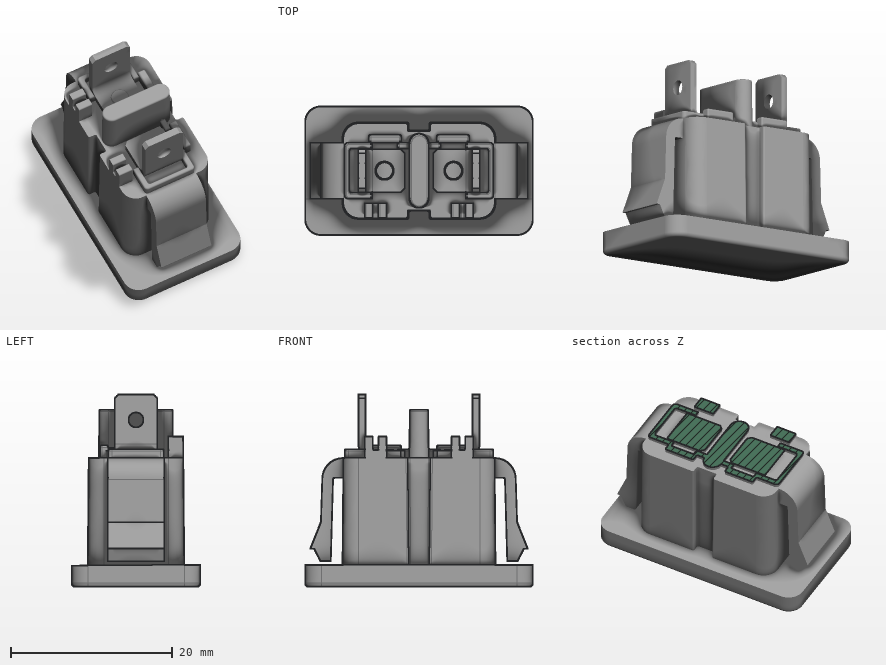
import cadquery as cq
import math

ARC_MID_GAP = 1 - math.sin(math.pi / 4)

FLANGE_LENGTH = 28.3
FLANGE_WIDTH = 16.0
FLANGE_HEIGHT = 2.74
FLANGE_CORNER_RADIUS = 2.0
FLANGE_EDGE_RADIUS = 0.5
FLANGE_FOLD_Y = -3.5
FLANGE_FALL = 0.08

BODY_LENGTH = 19.02
BODY_WIDTH = 12.0
BODY_TOP_Z = 16.02
BODY_CORNER_RADIUS = 2.0
BODY_FOOT_Z = FLANGE_HEIGHT - FLANGE_FALL
BODY_HEIGHT = BODY_TOP_Z - BODY_FOOT_Z
DRAFT_ANGLE = 0.5
DRAFT_SLOPE = math.tan(math.radians(DRAFT_ANGLE))
NOTCH_TOP_HALF_WIDTH = 1.4
NOTCH_TOP_DEPTH = 1.12
NOTCH_EDGE_RADIUS = 0.23

RIB_LENGTH = 9.25
RIB_WIDTH = 2.42
RIB_TOP_Z = 22.02
SMALL_RADIUS = 0.2

CLIP_WIDTH = 7.0
CLIP_ROOT_X = 9.0
CLIP_BEND_X = 9.4
CLIP_BEND_RADIUS = 2.62
CLIP_ARM_BOTTOM_Z = 13.55
CLIP_INNER_TOP_X = 10.65
CLIP_INNER_FOOT_X = 10.94
CLIP_INNER_RADIUS = 0.2
CLIP_KNEE = (12.19, 8.05)
CLIP_TIP_X = 13.47
CLIP_TIP_Z = 4.73
CLIP_TIP_FLAT = 0.1
CLIP_LEDGE_X = 13.02
CLIP_FOOT_X = 12.24
CLIP_FOOT_Z = 3.22

TAB_THICKNESS = 0.91
TAB_WIDTH = 5.3
TAB_OUTER_X = 7.54
TAB_TOP_Z = 23.9
TAB_FOOT_X = 1.77
TAB_BEND_RADIUS = 0.82
TAB_CORNER_CHAMFER = 0.47
TAB_HOLE_DIAMETER = 1.85
TAB_HOLE_Z = 20.74
RIVET_DIAMETER = 2.3
RIVET_HEIGHT = 0.12
RIVET_X = 4.28

RIM_OUTER_X = 9.24
RIM_WIDTH = 6.95
RIM_WALL = 0.6
RIM_INNER_WIDTH = 5.46
RIM_TOP_Z = 17.1
RIM_CORNER_RADIUS = 0.45
RIM_INNER_RADIUS = 0.3
RIM_ARM_END_X = 5.8
STUB_OUTER_X = 2.67

BLOCK_OUTER_X = 6.22
BLOCK_INNER_X = 2.2
BLOCK_FRONT_Y = 3.47
BLOCK_REAR_Y = 4.45
BLOCK_TOP_Z = 17.6
BLOCK_TOP_RADIUS = 0.25

POST_INNER_X = 4.02
POST_OUTER_X = 6.73
POST_REAR_Y = -4.03
POST_TOP_Z = 18.71
POST_SLOT_WIDTH = 0.68
POST_SLOT_Z = 16.98
POST_EDGE_RADIUS = 0.15


def box(x0, x1, y0, y1, z0, z1):
    """Axis-aligned block between two opposite corners."""
    return cq.Workplane("XY").box(x1 - x0, y1 - y0, z1 - z0, centered=False).translate((x0, y0, z0))


def make_flange():
    """Rounded base plate whose upper face falls slightly toward the rear."""
    flange = cq.Workplane("XY").box(FLANGE_LENGTH, FLANGE_WIDTH, FLANGE_HEIGHT, centered=(True, True, False))
    flange = flange.edges("|Z").fillet(FLANGE_CORNER_RADIUS)
    flange = flange.faces("<Z").edges().fillet(FLANGE_EDGE_RADIUS)
    rear_y = FLANGE_WIDTH / 2
    wedge = (
        cq.Workplane("YZ")
        .moveTo(FLANGE_FOLD_Y, FLANGE_HEIGHT)
        .lineTo(rear_y, FLANGE_HEIGHT)
        .lineTo(rear_y, FLANGE_HEIGHT - FLANGE_FALL)
        .close()
        .extrude(FLANGE_LENGTH / 2, both=True)
    )
    return flange.cut(wedge)


def make_body():
    """Drafted housing with a key notch in its front and rear faces."""
    body = (
        cq.Workplane("XY")
        .workplane(offset=BODY_FOOT_Z)
        .sketch()
        .rect(BODY_LENGTH, BODY_WIDTH)
        .vertices()
        .fillet(BODY_CORNER_RADIUS)
        .finalize()
        .extrude(BODY_HEIGHT, taper=DRAFT_ANGLE)
    )
    notches = (
        cq.Workplane("XY")
        .workplane(offset=BODY_TOP_Z)
        .pushPoints([(0, BODY_WIDTH / 2), (0, -BODY_WIDTH / 2)])
        .rect(2 * NOTCH_TOP_HALF_WIDTH, 2 * NOTCH_TOP_DEPTH)
        .extrude(-BODY_HEIGHT, taper=DRAFT_ANGLE)
    )
    body = body.cut(notches)
    zone_x = 2 * NOTCH_TOP_HALF_WIDTH
    zone_margin = BODY_HEIGHT / 4
    notch_edges = cq.selectors.BoxSelector(
        (-zone_x, -BODY_WIDTH, BODY_FOOT_Z + zone_margin),
        (zone_x, BODY_WIDTH, BODY_TOP_Z - zone_margin),
    )
    return body.edges(notch_edges).fillet(NOTCH_EDGE_RADIUS)


def make_rib():
    """Upright drafted rib with rounded ends."""
    return (
        cq.Workplane("XY")
        .workplane(offset=BODY_TOP_Z)
        .slot2D(RIB_LENGTH, RIB_WIDTH, 90)
        .extrude(RIB_TOP_Z - BODY_TOP_Z, taper=DRAFT_ANGLE)
        .faces(">Z")
        .edges()
        .fillet(SMALL_RADIUS)
    )


def make_clip():
    """Spring arm bending down from the body top to a barbed tip."""
    arc_x = CLIP_BEND_X + CLIP_BEND_RADIUS * (1 - ARC_MID_GAP)
    arc_z = BODY_TOP_Z - CLIP_BEND_RADIUS * ARC_MID_GAP
    clip = (
        cq.Workplane("XZ")
        .moveTo(CLIP_ROOT_X, BODY_TOP_Z)
        .lineTo(CLIP_BEND_X, BODY_TOP_Z)
        .threePointArc((arc_x, arc_z), (CLIP_BEND_X + CLIP_BEND_RADIUS, BODY_TOP_Z - CLIP_BEND_RADIUS))
        .lineTo(*CLIP_KNEE)
        .lineTo(CLIP_TIP_X, CLIP_TIP_Z + CLIP_TIP_FLAT)
        .lineTo(CLIP_TIP_X, CLIP_TIP_Z)
        .lineTo(CLIP_LEDGE_X, CLIP_TIP_Z)
        .lineTo(CLIP_FOOT_X, CLIP_FOOT_Z)
        .lineTo(CLIP_INNER_FOOT_X, CLIP_FOOT_Z)
        .lineTo(CLIP_INNER_TOP_X, CLIP_ARM_BOTTOM_Z)
        .lineTo(CLIP_ROOT_X, CLIP_ARM_BOTTOM_Z)
        .close()
        .extrude(CLIP_WIDTH / 2, both=True)
    )
    inner_corner = cq.selectors.NearestToPointSelector((CLIP_INNER_TOP_X, 0, CLIP_ARM_BOTTOM_Z))
    return clip.edges(inner_corner).fillet(CLIP_INNER_RADIUS)


def make_terminal():
    """L-shaped blade with a riveted foot lying on the body."""
    foot_top_z = BODY_TOP_Z + TAB_THICKNESS
    inner_x = TAB_OUTER_X - TAB_THICKNESS
    blade = (
        cq.Workplane("XZ")
        .moveTo(TAB_FOOT_X, BODY_TOP_Z)
        .lineTo(TAB_OUTER_X, BODY_TOP_Z)
        .lineTo(TAB_OUTER_X, TAB_TOP_Z)
        .lineTo(inner_x, TAB_TOP_Z)
        .lineTo(inner_x, foot_top_z)
        .lineTo(TAB_FOOT_X, foot_top_z)
        .close()
        .extrude(TAB_WIDTH / 2, both=True)
    )
    outer_bend = cq.selectors.NearestToPointSelector((TAB_OUTER_X, 0, BODY_TOP_Z))
    inner_bend = cq.selectors.NearestToPointSelector((inner_x, 0, foot_top_z))
    blade = blade.edges(outer_bend).fillet(TAB_BEND_RADIUS + TAB_THICKNESS)
    blade = blade.edges(inner_bend).fillet(TAB_BEND_RADIUS)
    blade = blade.faces(">Z").edges("|X").chamfer(TAB_CORNER_CHAMFER)
    blade = blade.faces("<X").edges("|Z").chamfer(TAB_CORNER_CHAMFER)
    hole = (
        cq.Workplane("YZ")
        .center(0, TAB_HOLE_Z)
        .circle(TAB_HOLE_DIAMETER / 2)
        .extrude(TAB_OUTER_X)
    )
    rivet = (
        cq.Workplane("XY")
        .workplane(offset=BODY_TOP_Z)
        .center(RIVET_X, 0)
        .circle(RIVET_DIAMETER / 2)
        .extrude(TAB_THICKNESS + RIVET_HEIGHT)
        .faces(">Z")
        .chamfer(RIVET_HEIGHT)
    )
    return blade.cut(hole).union(rivet)


def make_stub():
    """Short rear wall that flares upward where it meets the central rib."""
    rib_x = RIB_WIDTH / 2
    bend_x = rib_x + SMALL_RADIUS
    mid_offset = SMALL_RADIUS * ARC_MID_GAP
    stub = (
        cq.Workplane("XZ")
        .moveTo(0, BODY_TOP_Z)
        .lineTo(STUB_OUTER_X, BODY_TOP_Z)
        .lineTo(STUB_OUTER_X, RIM_TOP_Z)
        .lineTo(bend_x, RIM_TOP_Z)
        .threePointArc((rib_x + mid_offset, RIM_TOP_Z + mid_offset), (rib_x, RIM_TOP_Z + SMALL_RADIUS))
        .lineTo(0, RIM_TOP_Z + SMALL_RADIUS)
        .close()
        .extrude(-RIM_WIDTH / 2)
        .cut(box(0, STUB_OUTER_X, 0, RIM_INNER_WIDTH / 2, BODY_TOP_Z, BLOCK_TOP_Z))
    )
    outer_end = (STUB_OUTER_X, RIM_INNER_WIDTH / 2, RIM_TOP_Z)
    flat_top = stub.faces("|Z").faces(cq.selectors.NearestToPointSelector(outer_end))
    return flat_top.edges("not <X").fillet(SMALL_RADIUS)


def make_corner_web(side_x):
    """Concave rounding between one side of the stop block and the rear face of the rim."""
    outward = 1 if side_x == BLOCK_OUTER_X else -1
    wall_y = RIM_WIDTH / 2
    mid_offset = SMALL_RADIUS * ARC_MID_GAP
    return (
        cq.Workplane("XY")
        .workplane(offset=BODY_TOP_Z)
        .moveTo(side_x, wall_y)
        .lineTo(side_x + outward * SMALL_RADIUS, wall_y)
        .threePointArc((side_x + outward * mid_offset, wall_y + mid_offset), (side_x, wall_y + SMALL_RADIUS))
        .close()
        .extrude(RIM_TOP_Z - SMALL_RADIUS - BODY_TOP_Z)
    )


def make_stop_block():
    """Raised block along the rear edge of the terminal foot."""
    block = box(BLOCK_INNER_X, BLOCK_OUTER_X, BLOCK_FRONT_Y, BLOCK_REAR_Y, BODY_TOP_Z, BLOCK_TOP_Z)
    block = block.edges("|Z and >Y").fillet(SMALL_RADIUS)
    return block.faces(">Z").edges().fillet(BLOCK_TOP_RADIUS)


def make_rim():
    """Three-sided rim and rear stub, joined by a raised stop block behind the terminal foot."""
    outer_y = RIM_WIDTH / 2
    inner_y = RIM_INNER_WIDTH / 2
    rim = box(RIM_ARM_END_X, RIM_OUTER_X, -outer_y, outer_y, BODY_TOP_Z, RIM_TOP_Z)
    rim = rim.edges("|Z and >X").fillet(RIM_CORNER_RADIUS)
    opening = box(0, RIM_OUTER_X - RIM_WALL, -inner_y, inner_y, BODY_TOP_Z, RIM_TOP_Z)
    opening = opening.edges("|Z and >X").fillet(RIM_INNER_RADIUS)
    rim = rim.cut(opening).faces(">Z").edges().fillet(SMALL_RADIUS)
    rim = rim.union(make_stub())
    for side_x in (BLOCK_OUTER_X, BLOCK_INNER_X):
        rim = rim.union(make_corner_web(side_x))
    return rim.union(make_stop_block())


def make_post():
    """Front post split by a narrow slot, its front face continuing the body draft."""
    front_y = BODY_HEIGHT * DRAFT_SLOPE - BODY_WIDTH / 2
    front_top_y = (POST_TOP_Z - BODY_FOOT_Z) * DRAFT_SLOPE - BODY_WIDTH / 2
    post = (
        cq.Workplane("YZ")
        .workplane(offset=POST_INNER_X)
        .moveTo(front_y, BODY_TOP_Z)
        .lineTo(POST_REAR_Y, BODY_TOP_Z)
        .lineTo(POST_REAR_Y, POST_TOP_Z)
        .lineTo(front_top_y, POST_TOP_Z)
        .close()
        .extrude(POST_OUTER_X - POST_INNER_X)
    )
    slot_x = (POST_INNER_X + POST_OUTER_X - POST_SLOT_WIDTH) / 2
    slot = box(slot_x, slot_x + POST_SLOT_WIDTH, -BODY_WIDTH, 0, POST_SLOT_Z, POST_TOP_Z)
    slot = slot.faces("<Z").edges("|Y").fillet(SMALL_RADIUS)
    return post.cut(slot).faces(">Z").edges("|Y").fillet(POST_EDGE_RADIUS)


result = make_flange().union(make_body()).union(make_rib())
for make_feature in (make_clip, make_rim, make_terminal, make_post):
    feature = make_feature()
    result = result.union(feature).union(feature.mirror("YZ"))